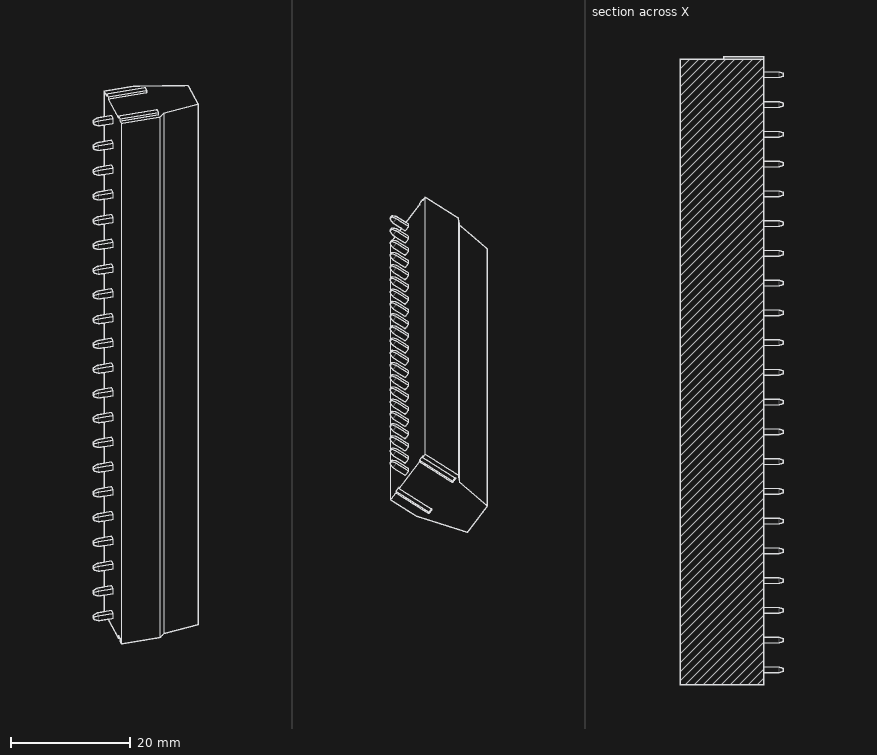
import cadquery as cq

total_length = 105.6
body_width = 10.2
total_depth = 17.3

pin_length = 3.3
body_depth = total_depth - pin_length
back_left_inset = 2.4
back_right_inset = 1.9
left_wall_depth = 5.3
right_wall_depth = 6.8
shoulder_depth = 7.7
shoulder_inset = 1.0

rib_height = 0.4
rib_width = 1.0
rib_depth = 6.8
left_rib_offset = 1.6
rib_spacing = 7.0
groove_depth = 0.6

pin_count = 21
pin_row_length = 100.0
first_pin_height = 2.5
pin_size = 1.0
pin_offset = 4.9
pin_tip_size = 0.5
pin_tip_length = 0.7
pin_root = 1.1

body_length = total_length - rib_height
pin_pitch = pin_row_length / (pin_count - 1)


def make_housing():
    """Tapered housing with a small shoulder on its right side."""
    outline = [
        (0, 0),
        (body_width, 0),
        (body_width, right_wall_depth),
        (body_width - shoulder_inset, shoulder_depth),
        (body_width - back_right_inset, body_depth),
        (back_left_inset, body_depth),
        (0, left_wall_depth),
    ]
    return cq.Workplane("XY").polyline(outline).close().extrude(body_length)


def make_key_bars(base_height, bar_height):
    """Pair of straight bars that start at the pin face."""
    bars = cq.Workplane("XY")
    for offset in (left_rib_offset, left_rib_offset + rib_spacing):
        bar = cq.Workplane("XY").box(rib_width, rib_depth, bar_height, centered=False)
        bars = bars.add(bar.translate((offset, 0, base_height)))
    return bars.combine()


def make_pin(height):
    """Square pin with a tapered tip, pointing toward -Y."""
    shank_length = pin_length - pin_tip_length
    shank = (
        cq.Workplane("XZ", origin=(pin_offset, pin_root, height))
        .rect(pin_size, pin_size)
        .extrude(pin_root + shank_length)
    )
    return (
        shank.faces("<Y").workplane()
        .rect(pin_size, pin_size)
        .workplane(offset=pin_tip_length)
        .rect(pin_tip_size, pin_tip_size)
        .loft(combine=True)
    )


result = make_housing()
result = result.union(make_key_bars(body_length, rib_height))
result = result.cut(make_key_bars(0, groove_depth))
for index in range(pin_count):
    result = result.union(make_pin(first_pin_height + index * pin_pitch))